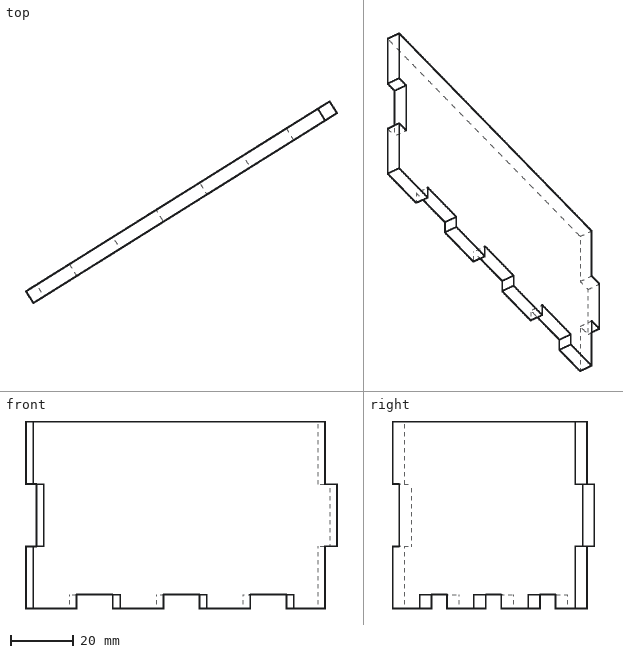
import cadquery as cq
import math

thickness = 4.5
overall_width = 99.9
height = 60.0
angle = 32.03
bottom_notch_count = 3
end_notch_depth = 4.0

turn = math.radians(angle)
length = (overall_width - thickness * math.sin(turn)) / math.cos(turn)

joint_depth = thickness
end_finger = height / 3
bottom_finger = length / (2 * bottom_notch_count + 1)
body_length = length - joint_depth


def block(x, z, size_x, size_z):
    """Box through the panel thickness, with its lower left front corner at (x, 0, z)."""
    return cq.Workplane("XY").box(size_x, thickness, size_z, centered=False).translate((x, 0, z))


panel = block(0, 0, body_length, height)
panel = panel.union(block(body_length, end_finger, joint_depth, end_finger))
panel = panel.cut(block(0, end_finger, end_notch_depth, end_finger))

for index in range(bottom_notch_count):
    notch_start = (2 * index + 1) * bottom_finger
    panel = panel.cut(block(notch_start, 0, bottom_finger, joint_depth))

result = panel.rotate((0, 0, 0), (0, 0, 1), angle)